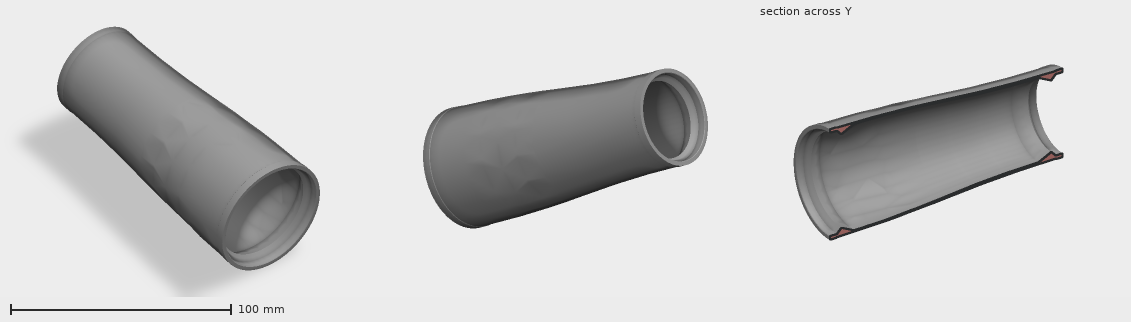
import cadquery as cq
import math

length = 130.0
half_length = length / 2
wide_collar_radius = 56.0 / 2
narrow_collar_radius = 45.0 / 2

collar_width = 3.8
collar_step = 0.3
mouth_wall = 2.1
mouth_chamfer = 0.3
socket_depth = 4.0
throat_wall = 4.5
seat_length = throat_wall - mouth_wall
body_wall = 1.3
relief_end = 13.6


def s_curve(profile, start, end):
    """Continue to end by two equal tangent arcs, parallel to X at start and end."""
    middle = ((start[0] + end[0]) / 2, (start[1] + end[1]) / 2)
    run = middle[0] - start[0]
    rise = middle[1] - start[1]
    arc_radius = (run**2 + rise**2) / (2 * abs(rise))
    sag = arc_radius - math.sqrt(arc_radius**2 - (run / 2) ** 2)
    bend = math.copysign(sag, rise)
    first_through = (start[0] + run / 2, start[1] + bend)
    second_through = (end[0] - run / 2, end[1] - bend)
    return profile.threePointArc(first_through, middle).threePointArc(second_through, end)


def outer_points(collar_radius, side):
    """Collar outline from the end face inward; side is -1 at -X and +1 at +X."""
    face = side * half_length
    body_radius = collar_radius - collar_step
    return [
        (face, collar_radius),
        (face - side * collar_width, collar_radius),
        (face - side * (collar_width + collar_step), body_radius),
    ]


def inner_points(collar_radius, side):
    """Mouth, socket, throat ridge and relief cone, from the end face inward."""
    face = side * half_length
    socket_radius = collar_radius - mouth_wall
    throat_radius = collar_radius - throat_wall
    bore_radius = collar_radius - body_wall
    return [
        (face, socket_radius + mouth_chamfer),
        (face - side * mouth_chamfer, socket_radius),
        (face - side * socket_depth, socket_radius),
        (face - side * (socket_depth + seat_length), throat_radius),
        (face - side * relief_end, bore_radius),
    ]


def draw_lines(profile, points):
    """Continue the profile through the points by straight lines."""
    for point in points:
        profile = profile.lineTo(*point)
    return profile


narrow_outer = outer_points(narrow_collar_radius, -1)
wide_outer = outer_points(wide_collar_radius, 1)[::-1]
wide_inner = inner_points(wide_collar_radius, 1)
narrow_inner = inner_points(narrow_collar_radius, -1)[::-1]

section = cq.Workplane("XZ").moveTo(*narrow_outer[0])
section = draw_lines(section, narrow_outer[1:])
section = s_curve(section, narrow_outer[-1], wide_outer[0])
section = draw_lines(section, wide_outer[1:] + wide_inner)
section = s_curve(section, wide_inner[-1], narrow_inner[0])
section = draw_lines(section, narrow_inner[1:])

result = section.close().revolve(360, (0, 0, 0), (1, 0, 0))